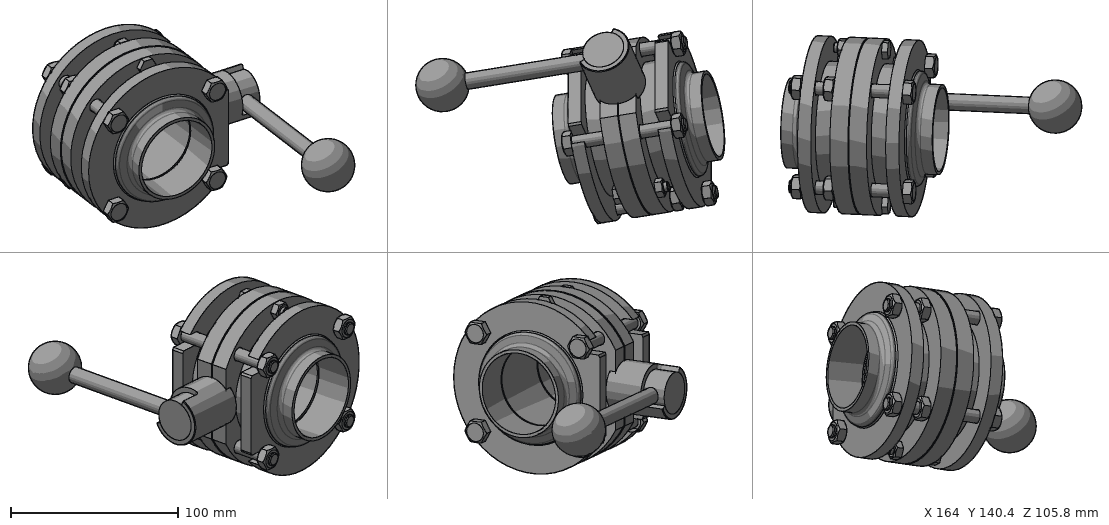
import cadquery as cq
import math


disc_diameter = 105.8
disc_radius = disc_diameter / 2
disc_flat_y = 46.7
bore_diameter = 50.0

centre_half_width = 11.2
hub_diameter = 76.0
hub_end_x = 22.8
joint_groove_width = 0.5
joint_groove_depth = 0.5
seal_groove_diameter = 53.6
seal_groove_width = 1.1

plate_thickness = 8.0
plate_outer_x = hub_end_x + plate_thickness
pipe_end_x = 46.1
pipe_diameter = 54.0
pipe_radius = pipe_diameter / 2
collar_diameter = 69.0
collar_radius = collar_diameter / 2
collar_foot_radius = 35.3
collar_foot_height = 1.0
shoulder_angle = math.radians(70)
pipe_fillet = 3.0
shoulder_round = 2.0
pipe_fillet_end_x = 38.9

long_bolt_spacing_y = 70.0
long_bolt_spacing_z = 61.0
long_bolt_y = long_bolt_spacing_y / 2
long_bolt_z = long_bolt_spacing_z / 2
long_bolt_diameter = 8.0
long_bolt_hole = 8.5
long_bolt_tip_diameter = 6.7
long_bolt_tip_x = -39.0
long_hex_flats = 13.0
long_nut_height = 6.5
long_head_height = 5.9

short_bolt_z = 47.5
short_bolt_diameter = 6.0
short_bolt_tip_diameter = 5.1
short_bolt_tip_x = -18.7
short_hex_flats = 10.0
short_nut_height = 5.0
short_head_height = 3.6

hex_side_angle = math.pi / 6
hex_chamfer_angle = math.radians(30)
hex_chamfer_share = 0.14

sleeve_diameter = 32.0
core_diameter = 25.5
sleeve_bottom_y = 42.8
sleeve_top_y = 80.7
sleeve_chamfer = 0.5
rod_diameter = 10.0
rod_y = 71.5
window_bottom_y = rod_y - rod_diameter / 2
lever_swing_angle = 90
window_margin_angle = 24
window_corner_radius = 1.8
ball_diameter = 32.0
overall_length = 164
ball_x = overall_length - pipe_end_x - ball_diameter / 2


def x_cylinder(diameter, x_start, x_end, y=0, z=0):
    """Cylinder parallel to X."""
    return (cq.Workplane("YZ", origin=(x_start, 0, 0))
            .center(y, z).circle(diameter / 2).extrude(x_end - x_start))


def y_cylinder(diameter, y_start, y_end):
    """Cylinder on the Y axis."""
    return (cq.Workplane("XZ", origin=(0, y_start, 0))
            .circle(diameter / 2).extrude(y_start - y_end))


def flatted_disc(x_start, x_end, inset=0):
    """Disc across the pipe with its flat on the +Y side, its rim moved inwards by the inset."""
    radius = disc_radius - inset
    size = 2 * radius
    keep = (cq.Workplane("XY").box(size, size, size)
            .translate((0, disc_flat_y - inset - radius, 0)))
    return x_cylinder(size, x_start, x_end).intersect(keep)


def hexagon(flats, x_start, height, y, z, chamfered_faces=None):
    """Hexagon nut or bolt head with flats facing +Z and -Z and coned corners on the chosen faces."""
    corners = flats / math.cos(hex_side_angle)
    cone_drop = hex_chamfer_share * flats
    cone_height = cone_drop * math.tan(hex_chamfer_angle)
    body = (cq.Workplane("YZ", origin=(x_start, y, z))
            .polygon(6, corners).extrude(height))
    if chamfered_faces:
        cone = x_cylinder(corners, x_start, x_start + height, y, z)
        cone = cone.faces(chamfered_faces).chamfer(cone_height, cone_drop)
        body = body.intersect(cone)
    return body


def bolt_shank(diameter, tip_diameter, x_tip, x_end, y, z):
    """Bolt shank with a chamfered tip on the -X end."""
    return (x_cylinder(diameter, x_tip, x_end, y, z)
            .faces("<X").chamfer((diameter - tip_diameter) / 2))


def make_centre():
    """Centre disc with its hubs, the joint groove and the two short bolts."""
    body = flatted_disc(-centre_half_width, centre_half_width)
    groove_x = joint_groove_width / 2
    groove_floor = flatted_disc(-groove_x, groove_x, joint_groove_depth)
    body = body.cut(flatted_disc(-groove_x, groove_x).cut(groove_floor))
    body = body.union(x_cylinder(hub_diameter, -hub_end_x, hub_end_x))
    body = body.cut(x_cylinder(bore_diameter, -hub_end_x, hub_end_x))
    seal_groove_x = hub_end_x - seal_groove_width
    body = body.cut(x_cylinder(seal_groove_diameter, seal_groove_x, hub_end_x))
    body = body.cut(x_cylinder(seal_groove_diameter, -hub_end_x, -seal_groove_x))
    for y in (-long_bolt_y, long_bolt_y):
        for z in (-long_bolt_z, long_bolt_z):
            body = body.cut(x_cylinder(long_bolt_hole, -hub_end_x, hub_end_x, y, z))
    for z in (-short_bolt_z, short_bolt_z):
        nut_x = -centre_half_width - short_nut_height
        body = body.union(bolt_shank(short_bolt_diameter, short_bolt_tip_diameter,
                                     short_bolt_tip_x, centre_half_width, 0, z))
        body = body.union(hexagon(short_hex_flats, nut_x, short_nut_height, 0, z, "<X"))
        body = body.union(hexagon(short_hex_flats, centre_half_width, short_head_height, 0, z))
    return body


def weld_neck():
    """Weld neck of the +X end, turned about X, solid inside."""
    sine = math.sin(shoulder_angle)
    cosine = math.cos(shoulder_angle)
    half_sine = math.sin(shoulder_angle / 2)
    half_cosine = math.cos(shoulder_angle / 2)

    fillet_x = pipe_fillet_end_x
    fillet_mid = (fillet_x - pipe_fillet * half_sine, pipe_radius + pipe_fillet * (1 - half_cosine))
    cone_low = (fillet_x - pipe_fillet * sine, pipe_radius + pipe_fillet * (1 - cosine))
    cone_high_radius = collar_radius - shoulder_round * (1 - cosine)
    cone_high_x = cone_low[0] - (cone_high_radius - cone_low[1]) / math.tan(shoulder_angle)
    collar_end_x = cone_high_x - shoulder_round * sine
    round_mid = (collar_end_x + shoulder_round * half_sine,
                 collar_radius - shoulder_round * (1 - half_cosine))
    return (cq.Workplane("XY")
            .moveTo(hub_end_x, 0)
            .lineTo(pipe_end_x, 0)
            .lineTo(pipe_end_x, pipe_radius)
            .lineTo(fillet_x, pipe_radius)
            .threePointArc(fillet_mid, cone_low)
            .lineTo(cone_high_x, cone_high_radius)
            .threePointArc(round_mid, (collar_end_x, collar_radius))
            .lineTo(plate_outer_x + collar_foot_height, collar_radius)
            .lineTo(plate_outer_x, collar_foot_radius)
            .lineTo(hub_end_x, collar_foot_radius)
            .close()
            .revolve(360, (0, 0, 0), (1, 0, 0)))


def make_end():
    """End piece of the +X side: clamping plate and weld neck."""
    body = flatted_disc(hub_end_x, plate_outer_x)
    for z in (-long_bolt_z, long_bolt_z):
        body = body.cut(x_cylinder(long_bolt_hole, hub_end_x, plate_outer_x, -long_bolt_y, z))
        body = body.cut(x_cylinder(long_bolt_hole, hub_end_x, plate_outer_x, long_bolt_y, z))
        slot_length = disc_radius - long_bolt_y
        slot = (cq.Workplane("XY")
                .box(plate_thickness, slot_length, long_bolt_hole, centered=(False, False, True))
                .translate((hub_end_x, long_bolt_y, z)))
        body = body.cut(slot)
    body = body.union(weld_neck())
    return body.cut(x_cylinder(bore_diameter, hub_end_x, pipe_end_x))


def long_bolt(y, z):
    """Long bolt with its head on the +X plate and its nut on the -X plate."""
    nut_x = -plate_outer_x - long_nut_height
    bolt = bolt_shank(long_bolt_diameter, long_bolt_tip_diameter,
                      long_bolt_tip_x, plate_outer_x, y, z)
    bolt = bolt.union(hexagon(long_hex_flats, nut_x, long_nut_height, y, z, "<X or >X"))
    return bolt.union(hexagon(long_hex_flats, plate_outer_x, long_head_height, y, z, ">X"))


def make_bolted_end():
    """End piece of the +X side together with the four long bolts."""
    body = make_end()
    for z in (-long_bolt_z, long_bolt_z):
        for y in (-long_bolt_y, long_bolt_y):
            body = body.union(long_bolt(y, z))
        lock_nut_x = -centre_half_width - long_nut_height
        body = body.union(hexagon(long_hex_flats, lock_nut_x, long_nut_height,
                                  -long_bolt_y, z, "<X or >X"))
    return body


def make_sleeve():
    """Sleeve around the lever shaft: slotted over the centre disc, with a window for the rod."""
    body = y_cylinder(sleeve_diameter, sleeve_bottom_y, sleeve_top_y)
    body = body.faces(">Y").edges().chamfer(sleeve_chamfer)
    body = body.cut(y_cylinder(core_diameter, sleeve_bottom_y, sleeve_top_y))
    disc_slot = cq.Workplane("XY").box(2 * centre_half_width, 2 * disc_flat_y, sleeve_diameter)
    body = body.cut(disc_slot)

    reach = sleeve_diameter
    start = math.radians(-window_margin_angle)
    end = math.radians(lever_swing_angle + window_margin_angle)
    middle = math.radians(lever_swing_angle / 2)
    window = (cq.Workplane("XZ", origin=(0, window_bottom_y, 0))
              .lineTo(reach * math.cos(start), reach * math.sin(start))
              .threePointArc((reach * math.cos(middle), reach * math.sin(middle)),
                             (reach * math.cos(end), reach * math.sin(end)))
              .close().extrude(window_bottom_y - sleeve_top_y))
    window = window.faces("<Y").edges("%LINE").fillet(window_corner_radius)
    return body.cut(window)


def make_lever():
    """Lever: shaft core inside the sleeve, rod and ball knob."""
    core = y_cylinder(core_diameter, disc_flat_y, sleeve_top_y)
    rod = x_cylinder(rod_diameter, 0, ball_x, rod_y)
    ball = cq.Workplane("YZ", origin=(ball_x, rod_y, 0)).sphere(ball_diameter / 2)
    return core.union(rod).union(ball)


centre = make_centre()
left_end = make_end().mirror("YZ")
bolted_right_end = make_bolted_end()
sleeve = make_sleeve()
lever = make_lever()

result = cq.Compound.makeCompound([
    centre.val(),
    left_end.val(),
    bolted_right_end.val(),
    sleeve.val(),
    lever.val(),
])